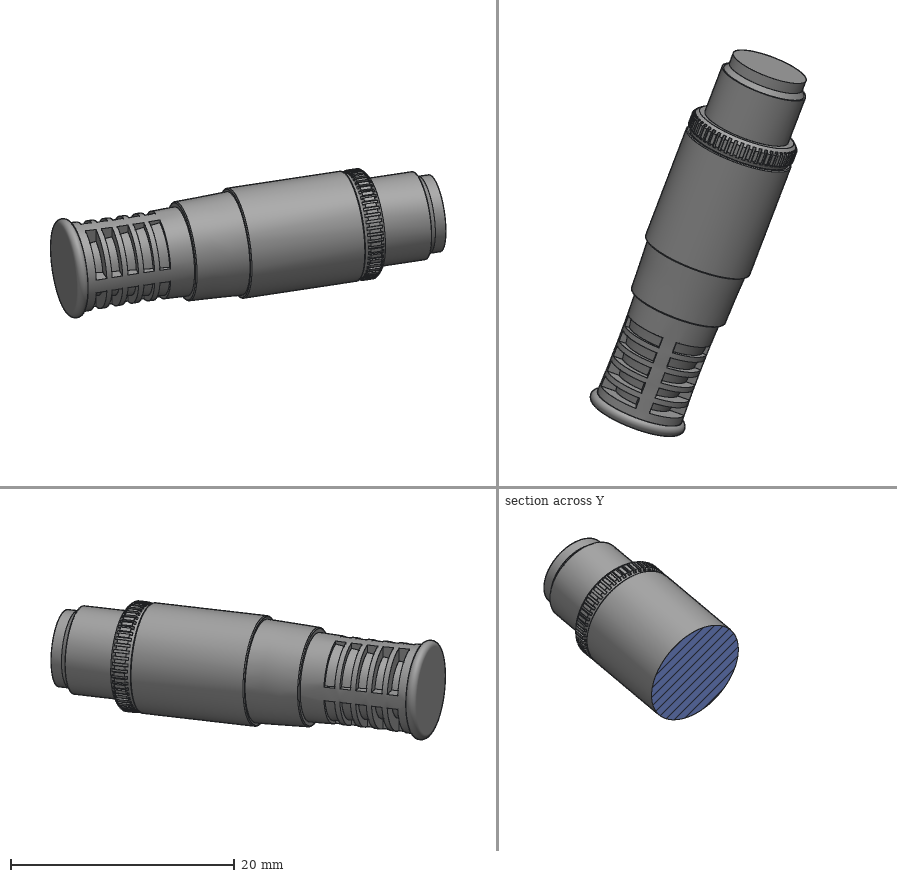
import cadquery as cq
import math


LENGTH = 34.8

nose_radius = 3.5
nose_length = 1.0
nose_cone_radius = 3.85
nose_cone_length = 0.5
shell_radius = 4.0

ring_radius = 5.0
ring_front = LENGTH - 6.0
ring_edge = 0.5
ring_edge_bulge = 0.03
ring_land_length = 1.0
ring_gap_radius = 4.7
tooth_count = 52
groove_depth = 0.2
groove_width = 0.26

sleeve_radius = 5.0
sleeve_front = LENGTH - 8.0
sleeve_length = 10.8
sleeve_chamfer = 0.1

collar_front_radius = 4.7
collar_rear_radius = 4.5
collar_length = 5.0
collar_chamfer = 0.1

neck_end_radius = 4.05
neck_waist_radius = 3.95
bead_radius = 4.5
bead_length = 1.0

slot_count = 5
slot_width = 1.0
slot_pitch = 1.5
first_slot_rear = 1.8
rib_width = 1.3
core_slope = 0.15
core_rear_radius = 2.65

shell_front = LENGTH - nose_length - nose_cone_length
sleeve_rear = sleeve_front - sleeve_length
collar_rear = sleeve_rear - collar_length
slots_length = (slot_count - 1) * slot_pitch + slot_width


def make_body():
    """Revolve the outer half profile, drawn as (radius, y), around the Y axis."""
    bead_edge = bead_length / 2
    land_front = ring_front - ring_edge
    land_rear = land_front - ring_land_length
    edge_mid = ring_edge / 2 - ring_edge_bulge
    rear_drop = ring_radius - ring_gap_radius
    rear_length = land_rear - sleeve_front
    hollow_radius = (rear_length - rear_drop) / (math.sqrt(2) - 1)
    hollow_start_radius = ring_gap_radius + hollow_radius * (1 - math.cos(math.pi / 4))
    hollow_start = sleeve_front + hollow_radius * math.sin(math.pi / 4)
    hollow_mid_radius = ring_gap_radius + hollow_radius * (1 - math.cos(math.pi / 8))
    hollow_mid = sleeve_front + hollow_radius * math.sin(math.pi / 8)
    profile = (
        cq.Workplane("XY")
        .lineTo(bead_radius - bead_edge, 0)
        .threePointArc((bead_radius, bead_edge), (bead_radius - bead_edge, bead_length))
        .lineTo(neck_end_radius, bead_length)
        .threePointArc(
            (neck_waist_radius, (bead_length + collar_rear) / 2),
            (neck_end_radius, collar_rear),
        )
        .lineTo(collar_rear_radius - collar_chamfer, collar_rear)
        .lineTo(collar_rear_radius, collar_rear + collar_chamfer)
        .lineTo(collar_front_radius, sleeve_rear)
        .lineTo(sleeve_radius - sleeve_chamfer, sleeve_rear)
        .lineTo(sleeve_radius, sleeve_rear + sleeve_chamfer)
        .lineTo(sleeve_radius, sleeve_front - sleeve_chamfer)
        .lineTo(sleeve_radius - sleeve_chamfer, sleeve_front)
        .lineTo(ring_gap_radius, sleeve_front)
        .threePointArc((hollow_mid_radius, hollow_mid), (hollow_start_radius, hollow_start))
        .lineTo(ring_radius, land_rear)
        .lineTo(ring_radius, land_front)
        .threePointArc(
            (ring_radius - edge_mid, ring_front - edge_mid),
            (ring_radius - ring_edge, ring_front),
        )
        .lineTo(shell_radius, ring_front)
        .lineTo(shell_radius, shell_front)
        .lineTo(nose_cone_radius, shell_front)
        .lineTo(nose_radius, LENGTH - nose_length)
        .lineTo(nose_radius, LENGTH)
        .lineTo(0, LENGTH)
        .close()
    )
    return profile.revolve(360, (0, 0), (0, 1))


def cut_knurl(body):
    """Cut straight axial grooves around the knurled ring."""
    length = ring_front - sleeve_front
    floor_radius = ring_radius - groove_depth
    cutter = (
        cq.Workplane("XY")
        .box(groove_width, length, 2 * groove_depth, centered=(True, False, False))
        .translate((0, sleeve_front, floor_radius))
    )
    cutters = []
    for tooth in range(tooth_count):
        angle = 360 * (tooth + 0.5) / tooth_count
        cutters.append(cutter.rotate((0, 0, 0), (0, 1, 0), angle).val())
    return body.cut(cq.Compound.makeCompound(cutters))


def make_core():
    """Tapered core left standing inside the slotted part of the boot."""
    front = first_slot_rear + slots_length
    front_radius = core_rear_radius + core_slope * slots_length
    return (
        cq.Workplane("XY")
        .moveTo(0, first_slot_rear)
        .lineTo(core_rear_radius, first_slot_rear)
        .lineTo(front_radius, front)
        .lineTo(0, front)
        .close()
        .revolve(360, (0, 0), (0, 1))
    )


def cut_slots(body):
    """Cut rows of slots in each quadrant, leaving four lengthwise ribs and the core."""
    quadrant_size = bead_radius
    offset = (rib_width + quadrant_size) / 2
    slots = []
    for index in range(slot_count):
        middle = first_slot_rear + slot_width / 2 + index * slot_pitch
        for side_x in (-offset, offset):
            for side_z in (-offset, offset):
                slot = cq.Workplane("XY").box(quadrant_size, slot_width, quadrant_size)
                slots.append(slot.translate((side_x, middle, side_z)).val())
    cutters = cq.Workplane(cq.Compound.makeCompound(slots))
    return body.cut(cutters.cut(make_core()))


result = cut_slots(cut_knurl(make_body()))